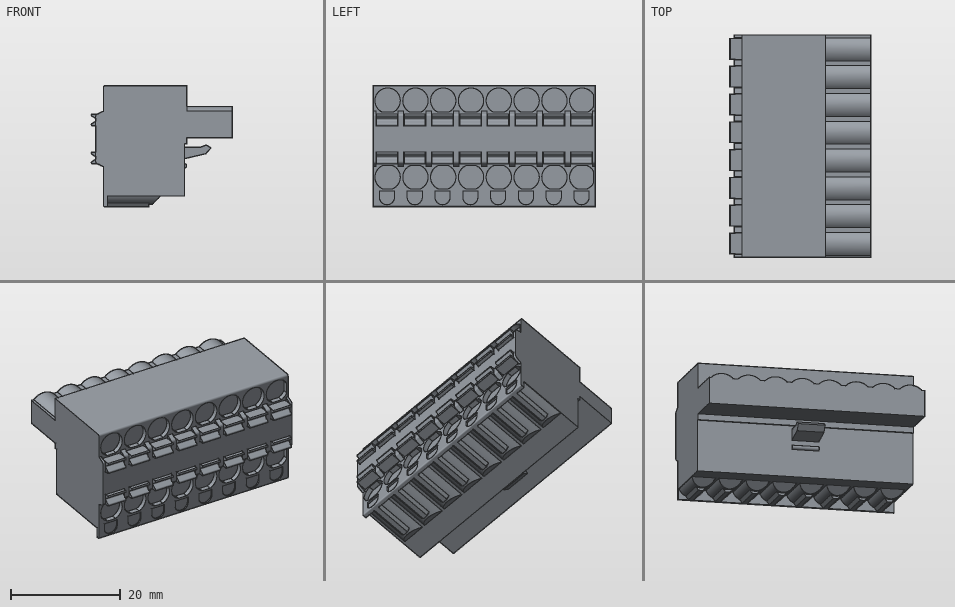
import cadquery as cq


LENGTH = 40.55
POLES = 8
PITCH = LENGTH / POLES
POLE_CENTRES = [(i - (POLES - 1) / 2) * PITCH for i in range(POLES)]

HEIGHT = 22.1
FRONT_X = 2.2
BAND_X = 0.8
BACK_X = 17.45
LOWER_BACK_X = 17.03
BACK_STEP_Z = 11.47
PLATE_BACK_X = 3.0
BODY_BOTTOM_Z = 1.95
TOP_FILLET = 0.4
BOTTOM_FILLET = 0.3

MIDDLE_Z = 12.35
BAND_HALF_HEIGHT = 4.4
BAND_FOOT_HALF_HEIGHT = 5.05
BAND_FILLET = 0.5
SLOT_WIDTH = 4.05
BUTTON_WIDTH = 3.8
BUTTON_INNER = 2.4
BUTTON_OUTER = 4.55
PRONG_FLAT_X = 0.15
PRONG_NOSE_Z = 0.2
PRONG_SHOULDER_X = 0.12
PRONG_SHOULDER_Z = 0.4
GROOVE_EDGE_X = 0.73
GROOVE_BOTTOM_X = 0.95
GROOVE_HEIGHT = 0.53

ENTRY_RADIUS = 2.3
ENTRY_OFFSET_Z = 6.97
ENTRY_FLAT = 2.1
LOWER_ENTRY_FLAT = 2.15
ENTRY_SHIFT_Y = -0.12
ENTRY_DEPTH = 0.97
END_WALL = 0.32

TEST_RADIUS = 1.38
TEST_CENTRE_Z = 1.75
TEST_TOP_Z = 2.85
TEST_DEPTH = 0.32

TONGUE_END_X = 25.7
TONGUE_BOTTOM_Z = 12.55
TONGUE_TOP_Z = 17.45
RIB_WIDTH = 4.18
RIB_HEIGHT = 0.85
RIB_SHIFT_Y = -0.1

BULGE_RADIUS = 2.45
BULGE_SHIFT_Y = -0.2
BULGE_BOTTOM_Z = 0.45
BULGE_END_X = 12.6
KEEL_TOP_WIDTH = 2.1
KEEL_BOTTOM_WIDTH = 0.97
KEEL_TOP_Z = 0.73
KEEL_END_X = 10.5

LATCH_WIDTH = PITCH
LATCH_ROOT_BOTTOM_Z = 8.75
LATCH_TOP_Z = 10.85
LATCH_HOOK_START_X = 19.85
LATCH_HOOK_TOP = (20.95, 11.25)
LATCH_NOSE = (21.85, 10.75)
LATCH_CHIN = (20.88, 9.65)
RIDGE_CENTRE_Z = 7.45
RIDGE_HEIGHT = 0.8
RIDGE_DEPTH = 0.35


def box(x_range, y_range, z_range):
    """Axis-aligned box between the given limits."""
    size = [high - low for low, high in (x_range, y_range, z_range)]
    corner = (x_range[0], y_range[0], z_range[0])
    return cq.Workplane("XY").box(*size, centered=False).translate(corner)


def across(centre, width):
    """Limits of a span centred on a place."""
    return (centre - width / 2, centre + width / 2)


def along_y(profile, centre_y, width):
    """Extrude an XZ profile to a width centred on a place along Y."""
    return profile.extrude(width / 2, both=True).translate((0, centre_y, 0))


def mirrored(shape):
    """Mirror a shape about the middle height of the band."""
    return shape.mirror("XY", (0, 0, MIDDLE_Z))


def round_edge(body, x, z, radius):
    """Fillet the edge that runs along Y through (x, z)."""
    return body.edges(cq.selectors.NearestToPointSelector((x, 0, z))).fillet(radius)


def housing():
    profile = cq.Workplane("XZ").polyline([
        (FRONT_X, 0),
        (FRONT_X, MIDDLE_Z - BAND_FOOT_HALF_HEIGHT),
        (BAND_X, MIDDLE_Z - BAND_HALF_HEIGHT),
        (BAND_X, MIDDLE_Z + BAND_HALF_HEIGHT),
        (FRONT_X, MIDDLE_Z + BAND_FOOT_HALF_HEIGHT),
        (FRONT_X, HEIGHT),
        (BACK_X, HEIGHT),
        (BACK_X, TONGUE_TOP_Z),
        (TONGUE_END_X, TONGUE_TOP_Z),
        (TONGUE_END_X, TONGUE_BOTTOM_Z),
        (BACK_X, TONGUE_BOTTOM_Z),
        (BACK_X, BACK_STEP_Z),
        (LOWER_BACK_X, BACK_STEP_Z),
        (LOWER_BACK_X, BODY_BOTTOM_Z),
        (PLATE_BACK_X, BODY_BOTTOM_Z),
        (PLATE_BACK_X, 0),
    ]).close()
    body = along_y(profile, 0, LENGTH)
    body = round_edge(body, FRONT_X, HEIGHT, TOP_FILLET)
    body = round_edge(body, FRONT_X, 0, BOTTOM_FILLET)
    for side in (-1, 1):
        body = round_edge(body, BAND_X, MIDDLE_Z + side * BAND_HALF_HEIGHT, BAND_FILLET)
    return body


def button_slot(centre_y):
    """Cut through the upper edge of the band, down to the wire-entry face."""
    z_range = (MIDDLE_Z + BUTTON_INNER, MIDDLE_Z + BAND_FOOT_HALF_HEIGHT)
    return box((0, FRONT_X), across(centre_y, SLOT_WIDTH), z_range)


def button(centre_y):
    """Upper push button with two rounded prongs and a concave groove between them."""
    top = MIDDLE_Z + BUTTON_OUTER
    bottom = MIDDLE_Z + BUTTON_INNER
    groove_middle = (top + bottom) / 2
    groove_bottom = groove_middle - GROOVE_HEIGHT / 2
    groove_top = groove_middle + GROOVE_HEIGHT / 2
    profile = (
        cq.Workplane("XZ")
        .moveTo(FRONT_X, bottom)
        .lineTo(PRONG_FLAT_X, bottom)
        .threePointArc((0, bottom + PRONG_NOSE_Z), (PRONG_SHOULDER_X, bottom + PRONG_SHOULDER_Z))
        .lineTo(GROOVE_EDGE_X, groove_bottom)
        .threePointArc((GROOVE_BOTTOM_X, groove_middle), (GROOVE_EDGE_X, groove_top))
        .lineTo(PRONG_SHOULDER_X, top - PRONG_SHOULDER_Z)
        .threePointArc((0, top - PRONG_NOSE_Z), (PRONG_FLAT_X, top))
        .lineTo(FRONT_X, top)
        .close()
    )
    return along_y(profile, centre_y, BUTTON_WIDTH)


def wire_entry(centre_y, centre_z, flat_below, flat_above):
    """Round pocket cut off by flats below and above, kept clear of the end wall."""
    y = centre_y + ENTRY_SHIFT_Y
    pocket = cq.Workplane("YZ").center(y, centre_z).circle(ENTRY_RADIUS).extrude(ENTRY_DEPTH)
    limits = box(
        (0, ENTRY_DEPTH),
        (END_WALL - LENGTH / 2, LENGTH / 2),
        (centre_z - flat_below, centre_z + flat_above),
    )
    return pocket.intersect(limits).translate((FRONT_X, 0, 0))


def upper_entry(centre_y):
    """Pocket of the upper row, flat only on the side towards the band."""
    return wire_entry(centre_y, MIDDLE_Z + ENTRY_OFFSET_Z, ENTRY_FLAT, ENTRY_RADIUS)


def lower_entry(centre_y):
    """Pocket of the lower row, flat on top and bottom."""
    return wire_entry(centre_y, MIDDLE_Z - ENTRY_OFFSET_Z, LOWER_ENTRY_FLAT, ENTRY_FLAT)


def test_opening(centre_y):
    """Shallow D-shaped pocket with its round side down."""
    return (
        cq.Workplane("YZ", origin=(FRONT_X, centre_y, 0))
        .moveTo(-TEST_RADIUS, TEST_TOP_Z)
        .lineTo(-TEST_RADIUS, TEST_CENTRE_Z)
        .threePointArc((0, TEST_CENTRE_Z - TEST_RADIUS), (TEST_RADIUS, TEST_CENTRE_Z))
        .lineTo(TEST_RADIUS, TEST_TOP_Z)
        .close()
        .extrude(TEST_DEPTH)
    )


def tongue_rib(centre_y):
    """Shallow rounded rib along the top of the tongue."""
    return (
        cq.Workplane("YZ", origin=(BACK_X, centre_y + RIB_SHIFT_Y, TONGUE_TOP_Z))
        .moveTo(-RIB_WIDTH / 2, 0)
        .threePointArc((0, RIB_HEIGHT), (RIB_WIDTH / 2, 0))
        .close()
        .extrude(TONGUE_END_X - BACK_X)
    )


def bulge(centre_y):
    """Round bulge under the body with a 45 degree run-out, plus its keel."""
    y = centre_y + BULGE_SHIFT_Y
    centre_z = BULGE_BOTTOM_Z + BULGE_RADIUS
    length = BULGE_END_X - PLATE_BACK_X
    round_bar = (
        cq.Workplane("YZ", origin=(PLATE_BACK_X, y, centre_z))
        .circle(BULGE_RADIUS)
        .extrude(length)
    )
    drop = BODY_BOTTOM_Z - BULGE_BOTTOM_Z
    side_profile = cq.Workplane("XZ").polyline([
        (PLATE_BACK_X, BODY_BOTTOM_Z),
        (PLATE_BACK_X, BULGE_BOTTOM_Z),
        (BULGE_END_X - drop, BULGE_BOTTOM_Z),
        (BULGE_END_X, BODY_BOTTOM_Z),
    ]).close()
    shaped_bar = round_bar.intersect(along_y(side_profile, y, 2 * BULGE_RADIUS))
    keel = (
        cq.Workplane("YZ", origin=(PLATE_BACK_X, y, 0))
        .polyline([
            (-KEEL_BOTTOM_WIDTH / 2, 0),
            (KEEL_BOTTOM_WIDTH / 2, 0),
            (KEEL_TOP_WIDTH / 2, KEEL_TOP_Z),
            (-KEEL_TOP_WIDTH / 2, KEEL_TOP_Z),
        ])
        .close()
        .extrude(KEEL_END_X - PLATE_BACK_X)
    )
    return shaped_bar.union(keel)


def latch():
    """Hooked latch arm in the middle of the back."""
    profile = cq.Workplane("XZ").polyline([
        (LOWER_BACK_X, LATCH_ROOT_BOTTOM_Z),
        (LOWER_BACK_X, LATCH_TOP_Z),
        (LATCH_HOOK_START_X, LATCH_TOP_Z),
        LATCH_HOOK_TOP,
        LATCH_NOSE,
        LATCH_CHIN,
    ]).close()
    return along_y(profile, 0, LATCH_WIDTH)


def ridge():
    """Small rounded ridge below the latch."""
    profile = (
        cq.Workplane("XZ")
        .moveTo(LOWER_BACK_X, RIDGE_CENTRE_Z - RIDGE_HEIGHT / 2)
        .threePointArc(
            (LOWER_BACK_X + RIDGE_DEPTH, RIDGE_CENTRE_Z),
            (LOWER_BACK_X, RIDGE_CENTRE_Z + RIDGE_HEIGHT / 2),
        )
        .close()
    )
    return along_y(profile, 0, LATCH_WIDTH)


result = housing().union(latch()).union(ridge())
for pole_y in POLE_CENTRES:
    result = result.cut(button_slot(pole_y)).cut(mirrored(button_slot(pole_y)))
    result = result.cut(upper_entry(pole_y)).cut(lower_entry(pole_y))
    result = result.cut(test_opening(pole_y))
    result = result.union(button(pole_y)).union(mirrored(button(pole_y)))
    result = result.union(tongue_rib(pole_y)).union(bulge(pole_y))